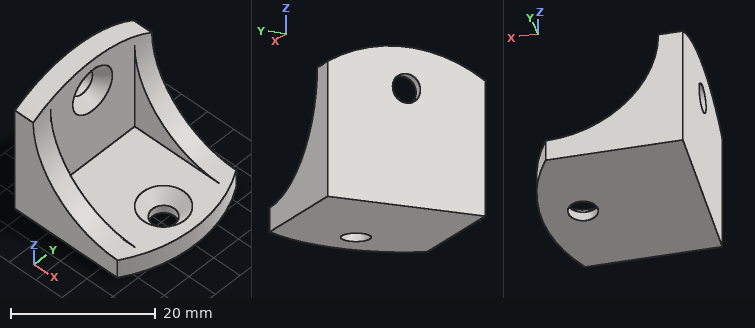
import cadquery as cq
import math

width = 24.0
reach = 23.0
shoulder = 19.5
thickness = 3.5
web_radius = shoulder - thickness

hole_position = 17.0
hole_diameter = 4.2
sink_diameter = 8.0
sink_depth = 2.0
sink_angle = 2 * math.degrees(math.atan((sink_diameter - hole_diameter) / 2 / sink_depth))


def plate(workplane):
    """Plate with a crowned far end; local x runs away from the outer corner."""
    return (
        workplane
        .moveTo(0, -width / 2)
        .lineTo(shoulder, -width / 2)
        .threePointArc((reach, 0), (shoulder, width / 2))
        .lineTo(0, width / 2)
        .close()
        .extrude(thickness)
    )


def side_web(y_start):
    """Concave web filling the corner between the plates."""
    profile = (
        cq.Workplane("XZ", origin=(0, y_start, 0))
        .lineTo(shoulder, 0)
        .lineTo(shoulder, thickness)
        .radiusArc((thickness, shoulder), web_radius)
        .lineTo(0, shoulder)
        .close()
    )
    return profile.extrude(-thickness)


def drill(body, face_plane):
    """Cut a countersunk hole from the inner face of a plate."""
    return (
        body.copyWorkplane(cq.Workplane(face_plane))
        .pushPoints([(hole_position, 0)])
        .cskHole(hole_diameter, sink_diameter, sink_angle, depth=thickness)
    )


base_plate = plate(cq.Workplane("XY"))

upright_plane = cq.Plane(origin=(0, 0, 0), xDir=(0, 0, 1), normal=(1, 0, 0))
upright_plate = plate(cq.Workplane(upright_plane))

bracket = base_plate.union(upright_plate)
for y_start in (-width / 2, width / 2 - thickness):
    bracket = bracket.union(side_web(y_start))

base_inner_face = cq.Plane(origin=(0, 0, thickness), xDir=(1, 0, 0), normal=(0, 0, 1))
upright_inner_face = cq.Plane(origin=(thickness, 0, 0), xDir=(0, 0, 1), normal=(1, 0, 0))
for inner_face in (base_inner_face, upright_inner_face):
    bracket = drill(bracket, inner_face)

result = bracket